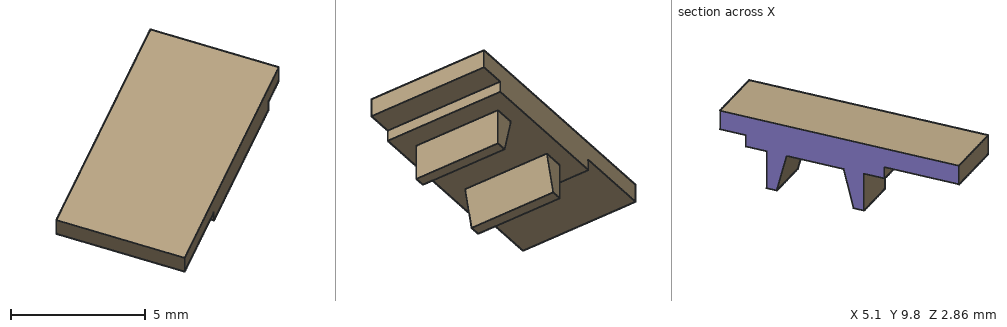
import cadquery as cq

plate_width = 5.1
plate_length = 9.8
plate_thickness = 0.81
total_height = 2.86

pad_length = 5.7
pad_thickness = 0.48
pad_back_offset = 1.05

leg_width = 3.7
leg_span = 4.0
leg_root = 0.84
leg_tip = 0.43

plate_bottom = -plate_thickness
pad_bottom = plate_bottom - pad_thickness
leg_bottom = -total_height

pad_center_y = plate_length / 2 - pad_back_offset - pad_length / 2


def slab(length, thickness, center_y, bottom):
    """Full-width rectangular block resting on the given height."""
    return (
        cq.Workplane("XY", origin=(0, center_y, bottom))
        .box(plate_width, length, thickness, centered=(True, True, False))
    )


def leg(side):
    """Tapered leg on the +Y (side = 1) or -Y (side = -1) end of the pad."""
    outer_y = pad_center_y + side * leg_span / 2
    profile = [
        (outer_y, pad_bottom),
        (outer_y, leg_bottom),
        (outer_y - side * leg_tip, leg_bottom),
        (outer_y - side * leg_root, pad_bottom),
    ]
    return cq.Workplane("YZ").polyline(profile).close().extrude(leg_width / 2, both=True)


result = slab(plate_length, plate_thickness, 0, plate_bottom)
result = result.union(slab(pad_length, pad_thickness, pad_center_y, pad_bottom))
for end in (1, -1):
    result = result.union(leg(end))